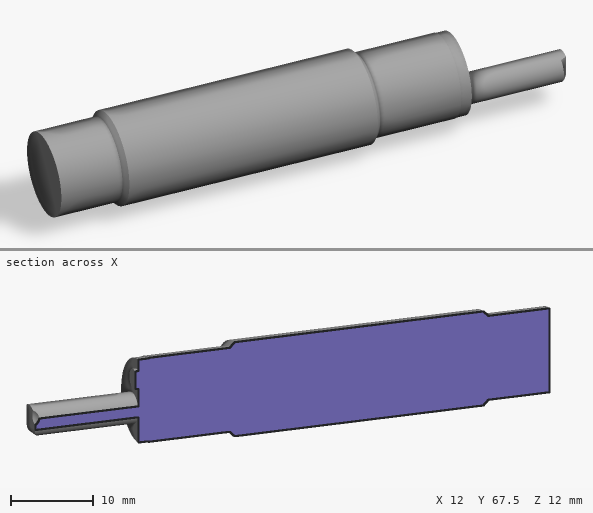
import cadquery as cq

total_length = 67.5
barrel_diameter = 12.0
neck_diameter = 10.7
front_neck_length = 8.0
barrel_end = 42.0
rear_face = 54.0
shoulder_chamfer = (barrel_diameter - neck_diameter) / 2

cap_diameter = 10.6
cap_length = 1.4

cable_diameter = 3.9
cable_x = 1.8
cable_z = -1.35
cable_radius = cable_diameter / 2

step_depth = 0.75
step_top_width = 1.15
step_bottom_width = 0.9
scoop_radius = 1.2
scoop_depth = 0.55
scoop_z = -0.4
lower_edge_radius = 1.2

lamp_diameter = 2.5
lamp_height = 0.4
lamp_x = 0.5
lamp_z = 2.7


def cylinder(diameter, start, end, x=0, z=0):
    """Solid cylinder along +Y from start to end."""
    direction = cq.Vector(0, 1, 0)
    return cq.Workplane(
        cq.Solid.makeCylinder(diameter / 2, end - start, cq.Vector(x, start, z), direction)
    )


def make_body():
    neck = cylinder(neck_diameter, 0, rear_face - cap_length)
    barrel = cylinder(barrel_diameter, front_neck_length, barrel_end)
    barrel = barrel.edges().chamfer(shoulder_chamfer)
    cap = cylinder(cap_diameter, rear_face - cap_length, rear_face)
    return neck.union(barrel).union(cap)


def make_cable():
    cable = cylinder(cable_diameter, rear_face, total_length, cable_x, cable_z)
    outer_x = cable_x + cable_radius
    step_floor = total_length - step_depth
    step_cutter = (
        cq.Workplane("XY", origin=(0, 0, cable_z))
        .moveTo(outer_x - step_top_width, total_length)
        .lineTo(outer_x - step_bottom_width, step_floor)
        .lineTo(outer_x, step_floor)
        .lineTo(outer_x, total_length)
        .close()
        .extrude(cable_radius, both=True)
    )
    scoop_center = (cable_x - cable_radius, total_length + scoop_radius - scoop_depth, scoop_z)
    scoop_cutter = cq.Workplane("XY").sphere(scoop_radius).translate(scoop_center)
    lower_edge_envelope = (
        cq.Workplane("XY")
        .box(cable_diameter, total_length - rear_face, cable_diameter)
        .edges(">Y and <Z")
        .fillet(lower_edge_radius)
        .translate((cable_x, (rear_face + total_length) / 2, cable_z))
    )
    return cable.cut(step_cutter).cut(scoop_cutter).intersect(lower_edge_envelope)


def make_lamp():
    return cylinder(lamp_diameter, rear_face, rear_face + lamp_height, lamp_x, lamp_z)


result = make_body().union(make_cable()).union(make_lamp())